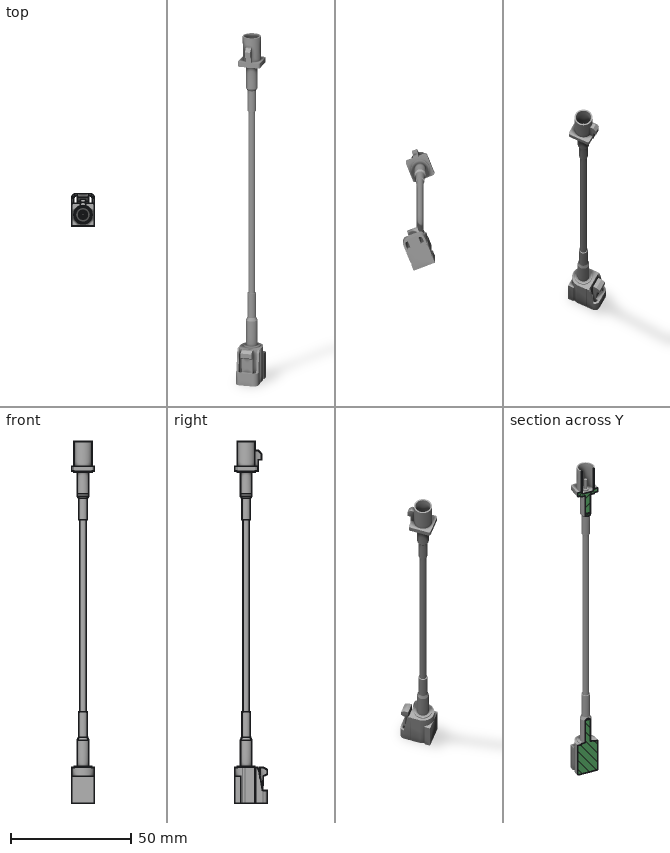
import cadquery as cq
import math

total_length = 150.4
body_width = 9.5
half_width = body_width / 2

barrel_radius = 2.4
neck_radius = 1.8
cable_radius = 1.4

plug_tube_radius = 3.8
plug_bore_radius = 3.2
plug_bore_depth = 11.3
plug_flange_top = 140.2
plug_flange_thickness = 2.1
plug_flange_bottom = plug_flange_top - plug_flange_thickness
plug_flange_back_y = 4.8
flange_corner_radius = 0.8
plug_collar_height = 0.5
plug_rim_top = 128.5
plug_rim_bottom = 127.7
plug_cone_end = 126.8
plug_neck_end = 117.7
plug_latch_width = 2.3
plug_latch_stem_y = 5.1
plug_latch_nose_y = 6.5
plug_latch_hook_z = 142.7
plug_latch_slope_z = 145.1
plug_latch_top_z = 146.6

contact_radius = 1.8
contact_shoulder_radius = 1.2
contact_shoulder_height = 0.8
contact_pin_radius = 0.6
contact_pin_length = 4.5
plug_floor = total_length - plug_bore_depth

jack_depth = 13.5
jack_height = 14.9
jack_front_height = 11.3
jack_front_back_y = -2.3
jack_side_front_y = -0.6
jack_relief_depth = 0.3
jack_groove_front_y = 3.6
jack_back_y = half_width
jack_collar_radius = 3.6
jack_collar_top = 15.3
jack_cone_start = 26.2
jack_cone_end = 27.5
jack_neck_end = 38.0

hood_outer_y = jack_depth - half_width
hood_height = 5.4
hood_wall = 0.9
hood_front_y = 3.9
hood_corner_radius = 2.0
hood_side_root_y = 6.8
hood_side_bend_y = 5.4
hood_side_bend_z = 13.5
hood_side_top_y = 4.8
lever_width = 4.7
lever_inner_y = 5.7
lever_outer_y = 7.2
lever_root_y = 6.9
lever_nose_bottom = 11.3
lever_nose_low_corner = 12.0
lever_nose_high_corner = 14.0


def cylinder(radius, bottom, top):
    """Solid cylinder on the cable axis."""
    return cq.Workplane("XY").workplane(offset=bottom).circle(radius).extrude(top - bottom)


def box(x_half, y_front, y_back, bottom, top):
    """Box centred on X between two Y and two Z limits."""
    return cq.Workplane("XY").box(
        2 * x_half, y_back - y_front, top - bottom, centered=(True, False, False)
    ).translate((0, y_front, bottom))


def side_profile(points, width):
    """Prism of a Y-Z outline, centred on X."""
    return cq.Workplane("YZ").polyline(points).close().extrude(width / 2, both=True)


def turned(points):
    """Body of revolution about Z from a radius-Z outline."""
    return cq.Workplane("XZ").polyline(points).close().revolve(360, (0, 0, 0), (0, 1, 0))


def plug_latch():
    """Hook on the back of the plug tube, standing on the flange."""
    return side_profile([
        (0, plug_flange_bottom),
        (plug_latch_stem_y, plug_flange_bottom),
        (plug_latch_stem_y, plug_latch_hook_z),
        (plug_latch_nose_y, plug_latch_hook_z),
        (plug_latch_nose_y, plug_latch_slope_z),
        (plug_latch_stem_y, plug_latch_top_z),
        (0, plug_latch_top_z),
    ], plug_latch_width)


def make_plug():
    flange = box(half_width, -half_width, plug_flange_back_y, plug_flange_bottom, plug_flange_top)
    flange = flange.edges("|Z").fillet(flange_corner_radius)
    collar = cylinder(plug_tube_radius, plug_flange_bottom - plug_collar_height, plug_flange_bottom)
    tube = cylinder(plug_tube_radius, plug_flange_bottom, total_length)
    barrel = cylinder(barrel_radius, plug_rim_top, plug_flange_bottom)
    plug = flange.union(collar).union(tube).union(plug_latch()).union(barrel)
    plug = plug.cut(cylinder(plug_bore_radius, plug_floor, total_length))
    return plug.cut(cylinder(contact_radius, plug_flange_bottom, plug_floor))


def make_contact():
    """Round base let into the bore floor, with a shoulder and a pin pointing out of the plug."""
    shoulder_top = plug_floor + contact_shoulder_height
    base = cylinder(contact_radius, plug_flange_bottom, plug_floor)
    shoulder = cylinder(contact_shoulder_radius, plug_floor, shoulder_top)
    pin = cylinder(contact_pin_radius, shoulder_top, shoulder_top + contact_pin_length)
    return base.union(shoulder).union(pin)


def make_cable():
    """Cable with a neck and a cone at each end, butting against the two barrels."""
    return turned([
        (0, jack_cone_start),
        (barrel_radius, jack_cone_start),
        (neck_radius, jack_cone_end),
        (neck_radius, jack_neck_end),
        (cable_radius, jack_neck_end),
        (cable_radius, plug_neck_end),
        (neck_radius, plug_neck_end),
        (neck_radius, plug_cone_end),
        (barrel_radius, plug_rim_bottom),
        (barrel_radius, plug_rim_top),
        (0, plug_rim_top),
    ])


def jack_core():
    """Full-height core: round front, sides with a tapered relief, and a groove before the hood."""
    relief_x = half_width - jack_relief_depth
    relief_y = -math.sqrt(half_width**2 - relief_x**2)
    return (
        cq.Workplane("XY")
        .moveTo(-relief_x, relief_y)
        .threePointArc((0, -half_width), (relief_x, relief_y))
        .lineTo(half_width, jack_side_front_y)
        .lineTo(half_width, jack_groove_front_y)
        .lineTo(relief_x, jack_groove_front_y)
        .lineTo(relief_x, jack_back_y)
        .lineTo(-relief_x, jack_back_y)
        .lineTo(-relief_x, jack_groove_front_y)
        .lineTo(-half_width, jack_groove_front_y)
        .lineTo(-half_width, jack_side_front_y)
        .close()
        .extrude(jack_height)
    )


def jack_hood():
    """Arch behind the jack; its side walls rise to full height with a sloping back edge."""
    outer = box(half_width, hood_front_y, hood_outer_y, 0, jack_height)
    outer = outer.edges("|Z and >Y").fillet(hood_corner_radius)
    inner_y = hood_outer_y - hood_wall
    inner = box(half_width - hood_wall, jack_back_y, inner_y, 0, jack_height)
    inner = inner.edges("|Z and >Y").fillet(hood_corner_radius - hood_wall)
    trim = side_profile([
        (hood_side_root_y, hood_height),
        (hood_outer_y, hood_height),
        (hood_outer_y, jack_height),
        (hood_side_top_y, jack_height),
        (hood_side_bend_y, hood_side_bend_z),
    ], body_width)
    return outer.cut(inner).cut(trim)


def jack_lever():
    """Release lever: a root joining jack and hood, an arm and a hooked nose."""
    root = box(lever_width / 2, jack_back_y, hood_outer_y - hood_wall, 0, hood_height)
    arm = side_profile([
        (lever_inner_y, 0),
        (lever_root_y, 0),
        (lever_root_y, hood_height),
        (lever_outer_y, lever_nose_bottom),
        (hood_outer_y, lever_nose_low_corner),
        (hood_outer_y, lever_nose_high_corner),
        (lever_outer_y, jack_height),
        (lever_inner_y, jack_height),
    ], lever_width)
    return root.union(arm)


def make_jack():
    front = box(half_width, -half_width, jack_front_back_y, 0, jack_front_height)
    collar = cylinder(jack_collar_radius, jack_height, jack_collar_top)
    barrel = cylinder(barrel_radius, jack_height, jack_cone_start)
    jack = jack_core().union(front).union(collar).union(barrel)
    return jack.union(jack_hood()).union(jack_lever())


plug = make_plug()
contact = make_contact()
cable = make_cable()
jack = make_jack()

result = cq.Compound.makeCompound([plug.val(), contact.val(), cable.val(), jack.val()])